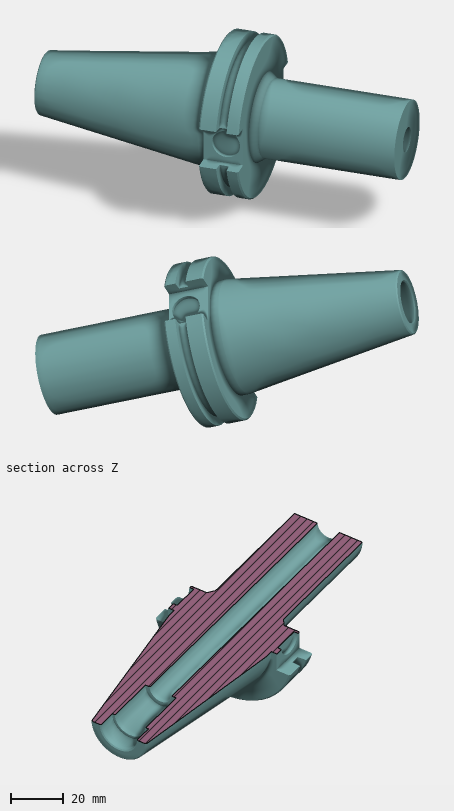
import cadquery as cq

length = 144.8

gauge_x = 68.5
gauge_radius = 44.5 / 2
tip_radius = 12.5
taper_slope = (gauge_radius - tip_radius) / gauge_x
tip_chamfer = 0.5

flange_start = 71.7
flange_end = 87.5
flange_radius = 63.4 / 2
flange_chamfer = 0.6
groove_start = 78.6
groove_end = 82.8
groove_radius = 28.2
groove_wall_taper = 0.3

shank_radius = 31.0 / 2
neck_radius = 17.7
neck_length = 2.9

slot_width = 16.0
slot_floor_y = 24.6
pocket_diameter = 11.1
pocket_x = 80.6
pocket_depth = 1.7

mouth_diameter = 17.1
bore_diameter = 16.2
bore_depth = 8.0
thread_diameter = 13.8
thread_depth = 29.0
through_diameter = 9.8


def make_body():
    """Revolve the outer profile of (X, radius) points around the X axis."""
    profile = [
        (0, 0),
        (0, tip_radius - tip_chamfer),
        (tip_chamfer, tip_radius + tip_chamfer * taper_slope),
        (gauge_x, gauge_radius),
        (flange_start, gauge_radius),
        (flange_start, flange_radius - flange_chamfer),
        (flange_start + flange_chamfer, flange_radius),
        (groove_start, flange_radius),
        (groove_start + groove_wall_taper, groove_radius),
        (groove_end - groove_wall_taper, groove_radius),
        (groove_end, flange_radius),
        (flange_end - flange_chamfer, flange_radius),
        (flange_end, flange_radius - flange_chamfer),
        (flange_end, neck_radius),
        (flange_end + neck_length, shank_radius),
        (length, shank_radius),
        (length, 0),
    ]
    return cq.Workplane("XY").polyline(profile).close().revolve(360, (0, 0, 0), (1, 0, 0))


def make_bore():
    """Revolve the stepped bore, with a chamfered mouth at X = 0."""
    mouth_chamfer = (mouth_diameter - bore_diameter) / 2
    profile = [
        (0, 0),
        (0, mouth_diameter / 2),
        (mouth_chamfer, bore_diameter / 2),
        (bore_depth, bore_diameter / 2),
        (bore_depth, thread_diameter / 2),
        (thread_depth, thread_diameter / 2),
        (thread_depth, through_diameter / 2),
        (length, through_diameter / 2),
        (length, 0),
    ]
    return cq.Workplane("XY").polyline(profile).close().revolve(360, (0, 0, 0), (1, 0, 0))


def make_drive_slot(angle):
    """Slot across the flange with a round pocket in its floor, turned about X."""
    slot = cq.Workplane("XY").box(
        flange_end - flange_start,
        flange_radius,
        slot_width,
        centered=(False, False, True),
    ).translate((flange_start, slot_floor_y, 0))
    pocket = (
        cq.Workplane("XZ", origin=(pocket_x, slot_floor_y, 0))
        .circle(pocket_diameter / 2)
        .extrude(pocket_depth)
    )
    return slot.union(pocket).rotate((0, 0, 0), (1, 0, 0), angle)


result = make_body().cut(make_bore())
for side_angle in (0, 180):
    result = result.cut(make_drive_slot(side_angle))